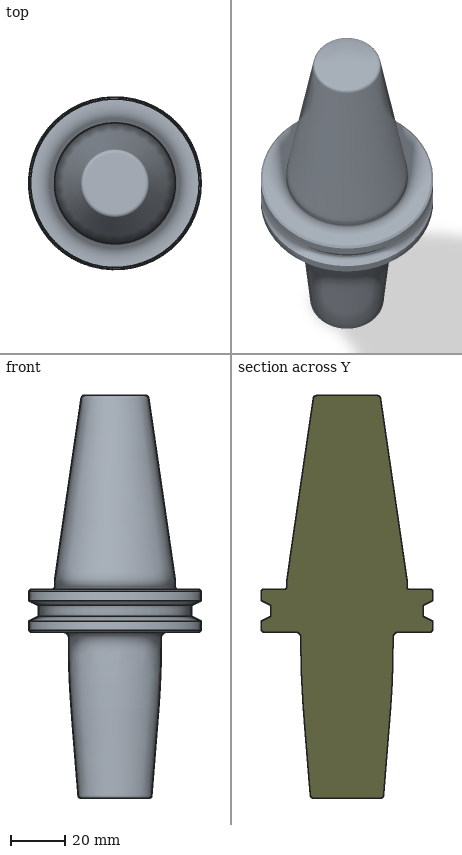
import cadquery as cq
import math

total_height = 148.2

nose_end_radius = 13.5
nose_edge_round = 1.2
cone_top_z = 33.2
cone_top_radius = 16.2
neck_radius = 17.0
neck_bottom_z = 56.0
neck_fillet = 2.0

flange_radius = 63.5 / 2
flange_bottom_z = 61.1
flange_top_z = 77.0
flange_edge = 0.7
groove_center_z = 69.0
groove_floor_radius = 28.2
groove_floor_width = 4.0
groove_wall_angle = 26.0

gauge_z = 80.0
gauge_radius = 22.2
taper_ratio = 7 / 24
shank_fillet = 0.7
shank_edge_round = 1.3

groove_depth = flange_radius - groove_floor_radius
groove_half_floor = groove_floor_width / 2
groove_half_mouth = groove_half_floor + groove_depth * math.tan(math.radians(groove_wall_angle))
shank_end_radius = gauge_radius - (total_height - gauge_z) * taper_ratio / 2


def revolved_body():
    """Revolve the half outline, without its edge rounds and fillets."""
    outline = (
        cq.Workplane("XZ")
        .lineTo(0, total_height)
        .lineTo(shank_end_radius, total_height)
        .lineTo(gauge_radius, gauge_z)
        .lineTo(gauge_radius, flange_top_z)
        .lineTo(flange_radius, flange_top_z)
        .lineTo(flange_radius, groove_center_z + groove_half_mouth)
        .lineTo(groove_floor_radius, groove_center_z + groove_half_floor)
        .lineTo(groove_floor_radius, groove_center_z - groove_half_floor)
        .lineTo(flange_radius, groove_center_z - groove_half_mouth)
        .lineTo(flange_radius, flange_bottom_z)
        .lineTo(neck_radius, flange_bottom_z)
        .lineTo(neck_radius, neck_bottom_z)
        .tangentArcPoint((cone_top_radius, cone_top_z), relative=False)
        .lineTo(nose_end_radius, 0)
        .close()
    )
    return outline.revolve(360, (0, 0, 0), (0, 1, 0))


def circle_at(radius, z):
    """Select the circular edge of the given radius and height."""
    margin = 0.01
    reach = radius + margin
    return cq.selectors.BoxSelector(
        (-reach, -reach, z - margin), (reach, reach, z + margin), boundingbox=True
    ) - cq.selectors.BoxSelector(
        (margin - radius, margin - radius, z - margin),
        (radius - margin, radius - margin, z + margin),
        boundingbox=True,
    )


body = revolved_body()
body = body.edges(circle_at(flange_radius, flange_top_z)).chamfer(flange_edge)
body = body.edges(circle_at(flange_radius, flange_bottom_z)).chamfer(flange_edge)
body = body.edges(circle_at(neck_radius, flange_bottom_z)).fillet(neck_fillet)
body = body.edges(circle_at(gauge_radius, flange_top_z)).fillet(shank_fillet)
body = body.edges(circle_at(shank_end_radius, total_height)).fillet(shank_edge_round)
body = body.edges(circle_at(nose_end_radius, 0)).fillet(nose_edge_round)
result = body